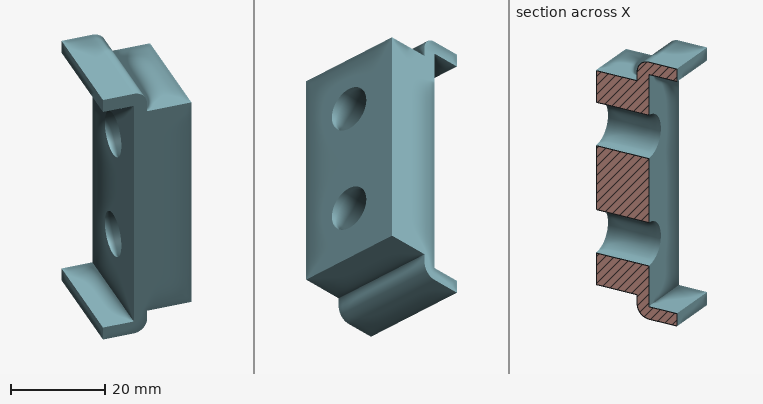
import cadquery as cq

height = 60.0
width = 25.0
depth = 20.0
sheet = 3.0
bend_radius = sheet
block_depth = 10.0
block_height = 50.0
hole_diameter = 10.0
hole_spacing = 25.0

channel_depth = depth - block_depth


def make_channel():
    """U-shaped channel, open toward -Y, with its web back on Y = 0."""
    outer = (
        cq.Workplane("XY")
        .box(width, channel_depth, height)
        .translate((0, -channel_depth / 2, 0))
        .edges("|X and >Y")
        .fillet(bend_radius)
    )
    opening_depth = channel_depth - sheet
    opening = (
        cq.Workplane("XY")
        .box(width, opening_depth, height - 2 * sheet)
        .translate((0, -sheet - opening_depth / 2, 0))
    )
    return outer.cut(opening)


def make_block():
    """Solid block on the back of the web."""
    return (
        cq.Workplane("XY")
        .box(width, block_depth, block_height)
        .translate((0, block_depth / 2, 0))
    )


def make_holes():
    """Two cylinders along Y from the block back, through block and web."""
    return (
        cq.Workplane("XZ", origin=(0, block_depth, 0))
        .pushPoints([(0, -hole_spacing / 2), (0, hole_spacing / 2)])
        .circle(hole_diameter / 2)
        .extrude(depth)
    )


result = make_channel().union(make_block()).cut(make_holes())